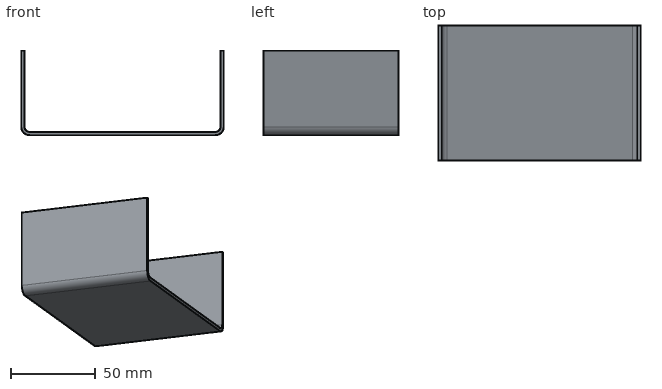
import cadquery as cq

width = 120.0
depth = 80.0
height = 50.0
thickness = 2.0
inner_radius = 3.0
outer_radius = inner_radius + thickness


def channel_block(block_width, base_height, bend_radius):
    """Block from the base height up to the rim, with both lower long edges rounded."""
    block = cq.Workplane("XY").box(block_width, depth, height - base_height, centered=(True, True, False))
    return block.edges("|Y and <Z").fillet(bend_radius).translate((0, 0, base_height))


outer = channel_block(width, 0, outer_radius)
inner = channel_block(width - 2 * thickness, thickness, inner_radius)

result = outer.cut(inner)